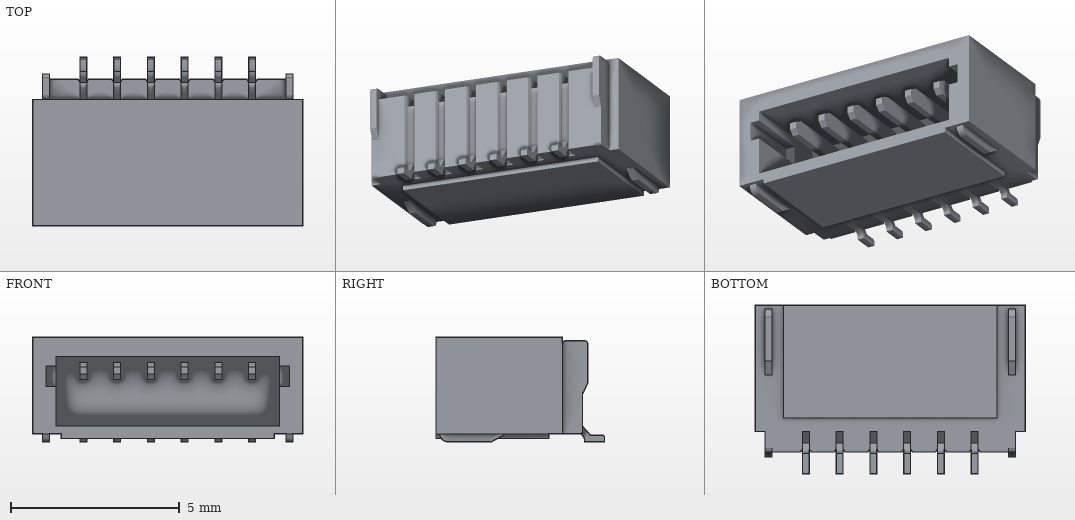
import cadquery as cq
import math


length = 8.0
housing_depth = 3.75
housing_bottom = 0.24
top = 3.1

cavity_side_wall = 0.69
cavity_floor = 0.47
cavity_ceiling = 2.53
cavity_depth = 3.0
keyway_side_wall = 0.39
keyway_depth = 2.0
keyway_bottom = 1.64
keyway_top = 2.24

pad_inset = 0.84
pad_bottom = 0.1
pad_depth = 3.35

block_back = 4.35
block_top = 2.68
groove_mouth_widening = 0.05
groove_mouth_depth = 0.08

tab_inset = 0.29
tab_thickness = 0.21
tab_back = 4.5
tab_top = 3.0
tab_step_upper = 1.74
tab_step_lower = 1.42
tab_corner_radius = 0.1
tab_bottom_radius = 0.1
foot_front = 0.12
foot_toe_radius = housing_bottom
foot_heel = 1.65
foot_end = 2.07

pin_count = 6
pitch = 1.0
pin_width = 0.21
pin_bottom = 1.85
pin_top = 2.35
pin_tip = 0.6
pin_tip_chamfer = 0.16
pin_tip_taper_height = 0.14
pin_tip_taper_length = 0.28
leg_back = 4.25
leg_back_bend = 0.57
leg_front = 4.08
tail_back = 5.0
tail_front = 4.4
tail_height = 0.2
tail_top_front = 4.58
tail_edge_chamfer = 0.05

bend_radius = 0.17
bend_start_height = 0.06
bend_angle = math.radians(45)
bend_end = tail_front - bend_radius * (1 - math.cos(bend_angle))
bend_end_height = bend_start_height + bend_radius * math.sin(bend_angle)
bend_middle = (
    tail_front - bend_radius * (1 - math.cos(bend_angle / 2)),
    bend_start_height + bend_radius * math.sin(bend_angle / 2),
)
leg_front_bend = bend_end_height + (bend_end - leg_front) * math.tan(bend_angle)

block_overlap = 0.3
first_pin = length / 2 - (pin_count - 1) * pitch / 2
pin_centres = [first_pin + i * pitch for i in range(pin_count)]


def box(x_range, y_range, z_range):
    sizes = [end - start for start, end in (x_range, y_range, z_range)]
    corner = (x_range[0], y_range[0], z_range[0])
    return cq.Workplane("XY").box(*sizes, centered=False).translate(corner)


def make_housing():
    """Shroud with its standoff pad, open to -Y; the keyways are shallower than the cavity."""
    body = box((0, length), (0, housing_depth), (housing_bottom, top))
    pad = box((pad_inset, length - pad_inset), (0, pad_depth), (pad_bottom, housing_bottom))
    cavity = box(
        (cavity_side_wall, length - cavity_side_wall), (0, cavity_depth), (cavity_floor, cavity_ceiling)
    )
    keyways = box(
        (keyway_side_wall, length - keyway_side_wall), (0, keyway_depth), (keyway_bottom, keyway_top)
    )
    return body.union(pad).cut(cavity).cut(keyways)


def make_block():
    """Block between the solder tabs, with one flared vertical groove per pin."""
    tab_inner_face = tab_inset + tab_thickness
    block = box(
        (tab_inner_face, length - tab_inner_face),
        (housing_depth - block_overlap, block_back),
        (housing_bottom, block_top),
    )
    half_groove = pin_width / 2
    half_mouth = half_groove + groove_mouth_widening
    mouth_start = block_back - groove_mouth_depth
    for x in pin_centres:
        groove = (
            cq.Workplane("XY", origin=(x, 0, housing_bottom))
            .moveTo(-half_groove, housing_depth)
            .lineTo(half_groove, housing_depth)
            .lineTo(half_groove, mouth_start)
            .lineTo(half_mouth, block_back)
            .lineTo(-half_mouth, block_back)
            .lineTo(-half_groove, mouth_start)
            .close()
            .extrude(block_top - housing_bottom)
        )
        block = block.cut(groove)
    return block


def make_solder_tab(x_start):
    """Stepped blade behind the housing and the foot below it, both standing across X."""
    blade = (
        cq.Workplane("YZ", origin=(x_start, 0, 0))
        .polyline([
            (housing_depth, housing_bottom),
            (block_back, housing_bottom),
            (block_back, tab_step_lower),
            (tab_back, tab_step_upper),
            (tab_back, tab_top),
            (housing_depth, tab_top),
        ])
        .close()
        .extrude(tab_thickness)
    )
    blade = blade.edges("|X and >Z").fillet(tab_corner_radius)
    bottom_corner = cq.selectors.NearestToPointSelector((x_start, block_back, housing_bottom))
    blade = blade.edges("|X").edges(bottom_corner).fillet(tab_bottom_radius)
    foot = (
        cq.Workplane("YZ", origin=(x_start, 0, 0))
        .moveTo(foot_front, housing_bottom)
        .radiusArc((foot_front + foot_toe_radius, 0), -foot_toe_radius)
        .lineTo(foot_heel, 0)
        .lineTo(foot_end, housing_bottom)
        .close()
        .extrude(tab_thickness)
    )
    return blade.union(foot)


def make_pin(x):
    """Contact running back through the housing, down its groove and out to the solder tail."""
    return (
        cq.Workplane("YZ", origin=(x - pin_width / 2, 0, 0))
        .moveTo(pin_tip, pin_bottom + pin_tip_chamfer)
        .lineTo(pin_tip + pin_tip_chamfer, pin_bottom)
        .lineTo(leg_front, pin_bottom)
        .lineTo(leg_front, leg_front_bend)
        .lineTo(bend_end, bend_end_height)
        .threePointArc(bend_middle, (tail_front, bend_start_height))
        .lineTo(tail_front, 0)
        .lineTo(tail_back, 0)
        .lineTo(tail_back, tail_height - tail_edge_chamfer)
        .lineTo(tail_back - tail_edge_chamfer, tail_height)
        .lineTo(tail_top_front, tail_height)
        .lineTo(leg_back, leg_back_bend)
        .lineTo(leg_back, pin_top)
        .lineTo(pin_tip + pin_tip_taper_length, pin_top)
        .lineTo(pin_tip, pin_top - pin_tip_taper_height)
        .close()
        .extrude(pin_width)
    )


result = make_housing().union(make_block())
for tab_start in (tab_inset, length - tab_inset - tab_thickness):
    result = result.union(make_solder_tab(tab_start))
for centre in pin_centres:
    result = result.union(make_pin(centre))